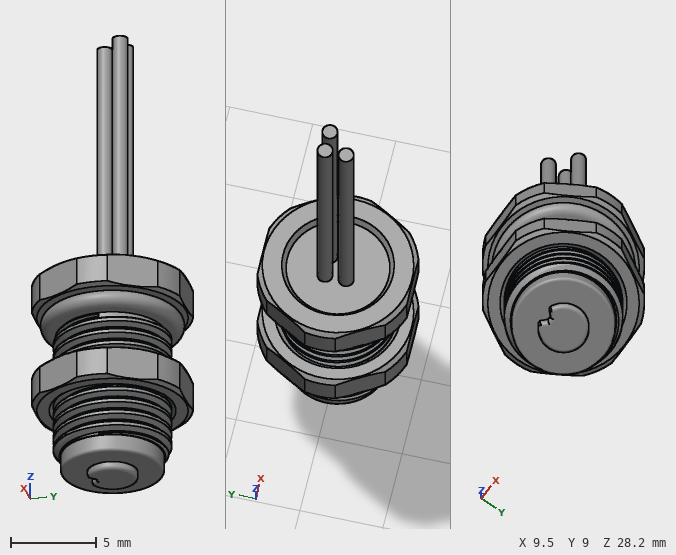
import cadquery as cq
import math

TOTAL_HEIGHT = 28.2
NOSE_BOTTOM = 0.48
THREAD_BOTTOM = 1.5
NUT_BOTTOM = 4.48
HEX_THICKNESS = 2.03
HEAD_TOP = 12.52
HEAD_BOTTOM = HEAD_TOP - HEX_THICKNESS
THREAD_TOP = 9.42

ACROSS_FLATS = 9.0
CORNER_DIAMETER = 9.5
HEX_FACE_DIAMETER = 8.88
HEX_CHAMFER_ANGLE = 30.0
NUT_COUNTERSINK_DIAMETER = 7.45

CORE_DIAMETER = 6.23
THREAD_DIAMETER = 6.97
TEN_TURN_RISE = 7.5
PITCH = TEN_TURN_RISE / 10
CREST_WIDTH = 0.23
FLANK_ANGLE = 30.0
RIDGE_OVERLAP = 0.05
CREST_HEIGHT_AT_X = 5.75

NOSE_DIAMETER = 6.1
NOSE_EDGE_RADIUS = 0.17
TIP_DIAMETER = 3.0
TIP_EDGE_RADIUS = 0.23
KEYWAY_FLAT_WIDTH = 1.27
KEYWAY_MOUTH_WIDTH = 0.93
KEYWAY_FLOOR_WIDTH = 0.25

SEAL_DIAMETER = 8.45
RECESS_TOP_DIAMETER = 6.6
RECESS_FLOOR_DIAMETER = 6.1
RECESS_DEPTH = 0.35
WIRE_DIAMETER = 0.9
WIRE_SPACING = 1.27
WIRE_OFFSET = WIRE_SPACING / 2
WIRE_POSITIONS = [
    (-WIRE_OFFSET, WIRE_OFFSET),
    (WIRE_OFFSET, WIRE_OFFSET),
    (-WIRE_OFFSET, -WIRE_OFFSET),
]


def cylinder(diameter, bottom, top):
    return cq.Workplane("XY").workplane(offset=bottom).circle(diameter / 2).extrude(top - bottom)


def revolved(points):
    """Revolve an outline of (radius, height) points around the Z axis."""
    return cq.Workplane("XZ").polyline(points).close().revolve(360, (0, 0, 0), (0, 1, 0))


def cone(bottom_diameter, top_diameter, bottom, top):
    return revolved([(0, bottom), (bottom_diameter / 2, bottom), (top_diameter / 2, top), (0, top)])


def hexagon(bottom):
    """Hexagon with flats on +Y and -Y, turned-down corners and chamfered ends."""
    top = bottom + HEX_THICKNESS
    corner_radius = CORNER_DIAMETER / 2
    face_radius = HEX_FACE_DIAMETER / 2
    chamfer = (corner_radius - face_radius) * math.tan(math.radians(HEX_CHAMFER_ANGLE))
    across_corners = ACROSS_FLATS / math.cos(math.pi / 6)
    prism = cq.Workplane("XY").workplane(offset=bottom).polygon(6, across_corners).extrude(HEX_THICKNESS)
    blank = revolved([
        (0, bottom),
        (face_radius, bottom),
        (corner_radius, bottom + chamfer),
        (corner_radius, top - chamfer),
        (face_radius, top),
        (0, top),
    ])
    return prism.intersect(blank)


def head():
    """Upper hexagon with a conical recess in its top face."""
    recess = cone(RECESS_FLOOR_DIAMETER, RECESS_TOP_DIAMETER, HEAD_TOP - RECESS_DEPTH, HEAD_TOP)
    return hexagon(HEAD_BOTTOM).cut(recess)


def nut():
    """Lower hexagon, countersunk around the thread at both ends."""
    top = NUT_BOTTOM + HEX_THICKNESS
    depth = (NUT_COUNTERSINK_DIAMETER - CORE_DIAMETER) / 2
    lower_countersink = cone(NUT_COUNTERSINK_DIAMETER, CORE_DIAMETER, NUT_BOTTOM, NUT_BOTTOM + depth)
    upper_countersink = cone(CORE_DIAMETER, NUT_COUNTERSINK_DIAMETER, top - depth, top)
    return hexagon(NUT_BOTTOM).cut(lower_countersink).cut(upper_countersink)


def thread_ridge():
    """Right-handed helical ridge, tapered at both ends of the thread."""
    core_radius = CORE_DIAMETER / 2
    crest_radius = THREAD_DIAMETER / 2
    taper = crest_radius - core_radius
    root_radius = core_radius - RIDGE_OVERLAP
    half_crest = CREST_WIDTH / 2
    half_root = half_crest + (crest_radius - root_radius) * math.tan(math.radians(FLANK_ANGLE))

    turns_below = math.ceil((CREST_HEIGHT_AT_X - THREAD_BOTTOM) / PITCH)
    turns_above = math.ceil((THREAD_TOP - CREST_HEIGHT_AT_X) / PITCH)
    start = CREST_HEIGHT_AT_X - turns_below * PITCH
    length = (turns_below + turns_above) * PITCH
    helix = cq.Wire.makeHelix(PITCH, length, core_radius, cq.Vector(0, 0, start))
    ridge = (
        cq.Workplane("XZ")
        .polyline([
            (root_radius, start - half_root),
            (crest_radius, start - half_crest),
            (crest_radius, start + half_crest),
            (root_radius, start + half_root),
        ])
        .close()
        .sweep(cq.Workplane(helix), isFrenet=True)
    )
    envelope = revolved([
        (0, THREAD_BOTTOM),
        (core_radius, THREAD_BOTTOM),
        (crest_radius + taper, THREAD_BOTTOM + 2 * taper),
        (crest_radius + taper, THREAD_TOP - 2 * taper),
        (core_radius, THREAD_TOP),
        (0, THREAD_TOP),
    ])
    return ridge.intersect(envelope)


def sealing_ring():
    """Ring around the core, under the head, with a fully rounded outer side."""
    section_radius = (HEAD_BOTTOM - THREAD_TOP) / 2
    outer_radius = SEAL_DIAMETER / 2
    arc_radius = outer_radius - section_radius
    return (
        cq.Workplane("XZ")
        .moveTo(0, THREAD_TOP)
        .lineTo(arc_radius, THREAD_TOP)
        .threePointArc((outer_radius, THREAD_TOP + section_radius), (arc_radius, HEAD_BOTTOM))
        .lineTo(0, HEAD_BOTTOM)
        .close()
        .revolve(360, (0, 0, 0), (0, 1, 0))
    )


def tip():
    """Contact carrier with a flat and a V-shaped keyway on its -Y side."""
    tip_radius = TIP_DIAMETER / 2
    half_flat = KEYWAY_FLAT_WIDTH / 2
    half_mouth = KEYWAY_MOUTH_WIDTH / 2
    half_floor = KEYWAY_FLOOR_WIDTH / 2
    flat_y = -math.sqrt(tip_radius**2 - half_flat**2)
    floor_y = flat_y + half_mouth - half_floor
    keyway = (
        cq.Workplane("XY")
        .polyline([
            (-half_flat, -tip_radius),
            (-half_flat, flat_y),
            (-half_mouth, flat_y),
            (-half_floor, floor_y),
            (half_floor, floor_y),
            (half_mouth, flat_y),
            (half_flat, flat_y),
            (half_flat, -tip_radius),
        ])
        .close()
        .extrude(NOSE_BOTTOM)
    )
    carrier = cylinder(TIP_DIAMETER, 0, NOSE_BOTTOM).cut(keyway)
    return carrier.faces("<Z").edges().fillet(TIP_EDGE_RADIUS)


nose = cylinder(NOSE_DIAMETER, NOSE_BOTTOM, THREAD_BOTTOM).faces("<Z").edges().fillet(NOSE_EDGE_RADIUS)
core = cylinder(CORE_DIAMETER, THREAD_BOTTOM, HEAD_BOTTOM)

result = core.union(thread_ridge())
for feature in (nut(), head(), sealing_ring(), nose, tip()):
    result = result.union(feature)
for x, y in WIRE_POSITIONS:
    wire = cylinder(WIRE_DIAMETER, HEAD_TOP - RECESS_DEPTH, TOTAL_HEIGHT).translate((x, y, 0))
    result = result.union(wire)